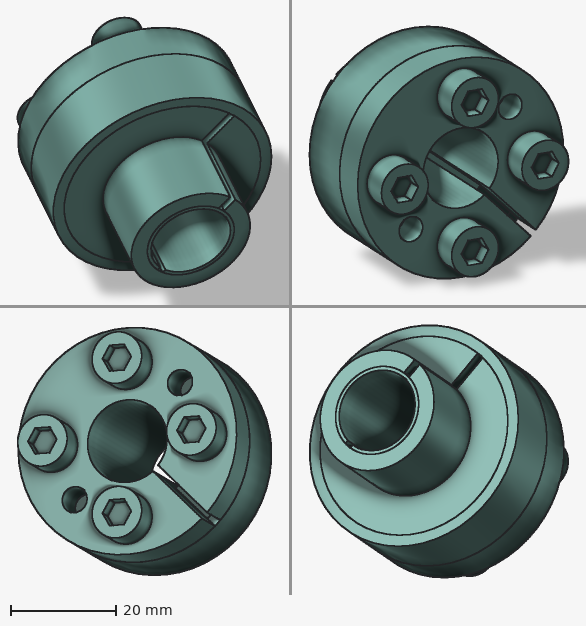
import cadquery as cq
import math

OUTER_DIAMETER = 44.0
FLANGE_THICKNESS = 7.5
RING_THICKNESS = 12.5
SLEEVE_PROJECTION = 16.05
RING_FRONT = FLANGE_THICKNESS
RING_BACK = RING_FRONT + RING_THICKNESS
SLEEVE_BACK = RING_BACK + SLEEVE_PROJECTION

BORE_DIAMETER = 16.0
TAPER_FRONT_RADIUS = 10.8
TAPER_BACK_RADIUS = 8.75
SLEEVE_DIAMETER = 24.0
COLLAR_DIAMETER = 39.6
SLIT_WIDTH = 1.5
BUSHING_SLIT_ANGLE = 225.0
SLEEVE_SLIT_ANGLE = 45.0

PITCH_RADIUS = 15.0
SCREW_COUNT = 4
SCREW_ANGLES = [index * 360 / SCREW_COUNT for index in range(SCREW_COUNT)]
HEAD_DIAMETER = 10.0
HEAD_HEIGHT = 6.0
SHANK_DIAMETER = 6.0
SHANK_LENGTH = 18.0
SOCKET_ACROSS_FLATS = 5.0
SOCKET_ACROSS_CORNERS = SOCKET_ACROSS_FLATS / math.cos(math.radians(30))
SOCKET_DEPTH = 3.0
JACK_HOLE_DIAMETER = 5.0
JACK_HOLE_ANGLES = (135.0, 315.0)


def cylinder(diameter, start, end):
    """Solid cylinder on the X axis between two X positions."""
    return cq.Workplane("YZ").workplane(offset=start).circle(diameter / 2).extrude(end - start)


def on_pitch_circle(shape, angle):
    """Move a shape from the X axis out to the pitch circle, at an angle from +Y towards +Z."""
    turn = math.radians(angle)
    return shape.translate((0, PITCH_RADIUS * math.cos(turn), PITCH_RADIUS * math.sin(turn)))


def slit(angle):
    """Cutter for a radial slit from the axis outwards, over the full length of the part."""
    return (
        cq.Workplane("XY")
        .box(SLEEVE_BACK, OUTER_DIAMETER, SLIT_WIDTH, centered=(False, False, True))
        .rotate((0, 0, 0), (1, 0, 0), angle)
    )


def taper():
    """Cone that the bushing and the sleeve share, narrowing towards the back."""
    profile = [
        (RING_FRONT, 0),
        (RING_FRONT, TAPER_FRONT_RADIUS),
        (SLEEVE_BACK, TAPER_BACK_RADIUS),
        (SLEEVE_BACK, 0),
    ]
    return cq.Workplane("XY").polyline(profile).close().revolve(360, (0, 0, 0), (1, 0, 0))


def make_screw(angle):
    """Socket head screw with its head against the front of the flange."""
    head = cylinder(HEAD_DIAMETER, -HEAD_HEIGHT, 0)
    shank = cylinder(SHANK_DIAMETER, 0, SHANK_LENGTH)
    socket = (
        cq.Workplane("YZ")
        .workplane(offset=-HEAD_HEIGHT)
        .polygon(6, SOCKET_ACROSS_CORNERS)
        .extrude(SOCKET_DEPTH)
    )
    screw = head.union(shank).cut(socket)
    return on_pitch_circle(screw, angle)


def cut_screw_holes(body):
    """Cut the holes that the screw shanks fill."""
    for angle in SCREW_ANGLES:
        body = body.cut(on_pitch_circle(cylinder(SHANK_DIAMETER, 0, SHANK_LENGTH), angle))
    return body


def make_bushing():
    """Split inner bushing: front flange and tapered tube in one piece."""
    body = cylinder(OUTER_DIAMETER, 0, FLANGE_THICKNESS).union(taper())
    body = body.cut(cylinder(BORE_DIAMETER, 0, SLEEVE_BACK))
    body = body.cut(slit(BUSHING_SLIT_ANGLE))
    for angle in JACK_HOLE_ANGLES:
        body = body.cut(on_pitch_circle(cylinder(JACK_HOLE_DIAMETER, 0, FLANGE_THICKNESS), angle))
    return cut_screw_holes(body)


def make_sleeve():
    """Split outer sleeve with a thick collar at the front that takes the screws."""
    tube = cylinder(SLEEVE_DIAMETER, RING_FRONT, SLEEVE_BACK)
    collar = cylinder(COLLAR_DIAMETER, RING_FRONT, RING_BACK)
    body = tube.union(collar).cut(taper()).cut(slit(SLEEVE_SLIT_ANGLE))
    return cut_screw_holes(body)


def make_ring():
    """Plain ring that closely surrounds the collar of the sleeve."""
    bore = cylinder(COLLAR_DIAMETER, RING_FRONT, RING_BACK)
    return cylinder(OUTER_DIAMETER, RING_FRONT, RING_BACK).cut(bore)


bushing = make_bushing()
sleeve = make_sleeve()
ring = make_ring()
screws = [make_screw(angle).val() for angle in SCREW_ANGLES]

result = cq.Compound.makeCompound([bushing.val(), sleeve.val(), ring.val(), *screws])